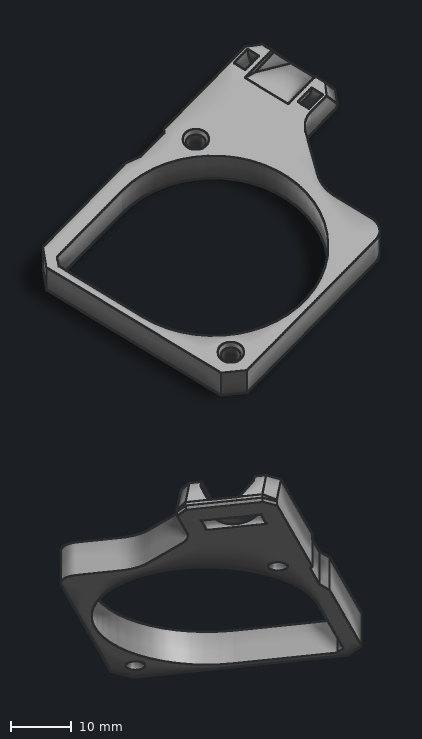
import cadquery as cq
import math

width = 42.5
length = 61.7
thickness = 6.0
plate_length = 41.0
front_chamfer = 3.1
back_corner_radius = 3.3

relief_depth = 1.1
relief_start = 25.35
relief_full = 28.0
relief_end = 34.45

arm_left = 0.6
arm_right = 17.6
arm_center = (arm_left + arm_right) / 2
arm_step_y = relief_end + (relief_depth - arm_left)
brace_angle = 40.0
brace_top_y = 50.3
brace_arm_radius = 5.0
brace_plate_radius = 8.0

tip_lean = math.tan(math.radians(30))
tip_corner = 2.0
leaning_corner = 2.15
tip_top_start = 1.25
tip_bottom_start = 0.6
tip_root_y = 53.1

opening_radius = 18.95
opening_x = 22.1
opening_y = 20.4
opening_chamfer = 1.35

hole_diameter = 3.3
sink_diameter = 4.3
sink_depth = 0.85
hole_offset = 16.0

ramp_half_width = 4.5
ramp_end_half_width = 2.6
ramp_start_y = 51.6
ramp_side_start_y = 54.3
ramp_side_end_z = 5.1

channel_start_y = 52.95
channel_width = 3.7
channel_outer_radius = 7.85
channel_inner_radius = 5.5


def plate():
    brace_run = (brace_top_y - plate_length) / math.tan(math.radians(brace_angle))
    outline = (
        cq.Workplane("XY")
        .moveTo(front_chamfer, 0)
        .lineTo(width - front_chamfer, 0)
        .lineTo(width, front_chamfer)
        .lineTo(width, plate_length)
        .lineTo(arm_right + brace_run, plate_length)
        .lineTo(arm_right, brace_top_y)
        .lineTo(arm_right, tip_root_y)
        .lineTo(arm_left, tip_root_y)
        .lineTo(arm_left, arm_step_y)
        .lineTo(relief_depth, relief_end)
        .lineTo(relief_depth, relief_full)
        .lineTo(0, relief_start)
        .lineTo(0, front_chamfer)
        .close()
        .extrude(thickness)
    )
    rounded_corners = [
        (width, plate_length, back_corner_radius),
        (arm_right + brace_run, plate_length, brace_plate_radius),
        (arm_right, brace_top_y, brace_arm_radius),
    ]
    for x, y, radius in rounded_corners:
        corner = cq.selectors.NearestToPointSelector((x, y, thickness / 2))
        outline = outline.edges("|Z").edges(corner).fillet(radius)
    return outline


def tip_outline(end_y, corner):
    return [
        (arm_left, tip_root_y),
        (arm_right, tip_root_y),
        (arm_right, end_y - corner),
        (arm_right - tip_corner, end_y),
        (arm_left + tip_corner, end_y),
        (arm_left, end_y - corner),
    ]


def leaning_tip(bottom_end_y, top_end_y, corner):
    return (
        cq.Workplane("XY")
        .polyline(tip_outline(bottom_end_y, corner))
        .close()
        .workplane(offset=thickness)
        .polyline(tip_outline(top_end_y, corner))
        .close()
        .loft(ruled=True)
    )


def arm_tip():
    upright = leaning_tip(length, length, tip_corner)
    upper = leaning_tip(
        length + tip_top_start * tip_lean,
        length - (thickness - tip_top_start) * tip_lean,
        leaning_corner,
    )
    lower = leaning_tip(
        length - tip_bottom_start * tip_lean,
        length + (thickness - tip_bottom_start) * tip_lean,
        tip_corner,
    )
    return upright.intersect(upper).intersect(lower)


def opening():
    left = opening_x - opening_radius
    front = opening_y - opening_radius
    arc_middle = opening_radius * math.sqrt(0.5)
    return (
        cq.Workplane("XY")
        .moveTo(left, opening_y)
        .lineTo(left, front + opening_chamfer)
        .lineTo(left + opening_chamfer, front)
        .lineTo(opening_x, front)
        .threePointArc(
            (opening_x + arc_middle, opening_y + arc_middle),
            (left, opening_y),
        )
        .close()
        .extrude(thickness)
    )


def screw_hole(x, y):
    hole_radius = hole_diameter / 2
    return (
        cq.Workplane("XZ")
        .polyline([
            (0, 0),
            (hole_radius, 0),
            (hole_radius, thickness - sink_depth),
            (sink_diameter / 2, thickness),
            (0, thickness),
        ])
        .close()
        .revolve(360, (0, 0, 0), (0, 1, 0))
        .translate((x, y, 0))
    )


def tetrahedron(a, b, c, d):
    faces = []
    for points in [(a, b, c), (a, b, d), (a, c, d), (b, c, d)]:
        outline = cq.Wire.makePolygon([cq.Vector(*p) for p in points], close=True)
        faces.append(cq.Face.makeFromWires(outline))
    return cq.Solid.makeSolid(cq.Shell.makeShell(faces))


def ramp_pocket():
    slope = (thickness - tip_top_start) / (length - ramp_start_y)
    wedge = (
        cq.Workplane("YZ", origin=(arm_center - ramp_half_width, 0, 0))
        .polyline([
            (ramp_start_y, thickness),
            (length, tip_top_start),
            (length, thickness),
        ])
        .close()
        .extrude(2 * ramp_half_width)
    )
    side_start_z = thickness - slope * (ramp_side_start_y - ramp_start_y)
    for side in (-1, 1):
        wall_x = arm_center + side * ramp_half_width
        floor_x = arm_center + side * ramp_end_half_width
        sloping_side = tetrahedron(
            (wall_x, ramp_side_start_y, side_start_z),
            (wall_x, length, tip_top_start),
            (wall_x, length, ramp_side_end_z),
            (floor_x, length, tip_top_start),
        )
        wedge = wedge.cut(cq.Workplane(sloping_side))
    return wedge


def strap_channel():
    return (
        cq.Workplane("XZ", origin=(arm_center, channel_start_y, thickness))
        .circle(channel_outer_radius)
        .circle(channel_inner_radius)
        .extrude(-channel_width)
    )


result = plate().union(arm_tip())
result = result.cut(opening())
for direction in (-1, 1):
    hole_x = opening_x + direction * hole_offset
    hole_y = opening_y - direction * hole_offset
    result = result.cut(screw_hole(hole_x, hole_y))
result = result.cut(ramp_pocket())
result = result.cut(strap_channel())